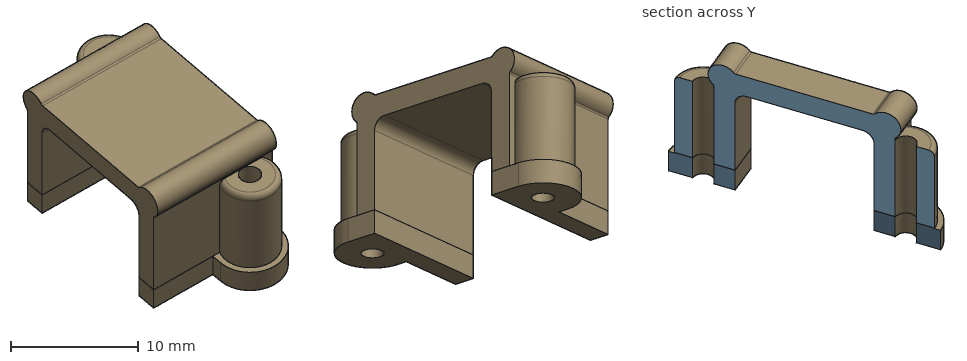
import cadquery as cq

total_width = 23.5
length = 12.0
total_height = 12.25

leg_outer_x = 7.83
leg_inner_x = 6.0
plate_top_z = 11.75
plate_bottom_z = 9.75
inner_fillet = 1.0

bead_radius = 1.3
bead_x = 7.05
bead_z = total_height - bead_radius
bead_blend = 0.24

foot_height = 2.0
lug_radius = 3.0
lug_x = total_width / 2 - lug_radius
lug_y = length / 2 - lug_radius

post_radius = 2.5
post_top_z = plate_bottom_z
post_top_fillet = 0.5
bore_diameter = 1.8

SIDES = (-1, 1)


def make_bore(side):
    """Cylinder that cuts the vertical hole through a post and its lug."""
    return cq.Workplane("XY").center(side * lug_x, lug_y).circle(bore_diameter / 2).extrude(post_top_z)


def make_channel():
    """Legs and top plate with beads blended into the outer corners."""
    channel = (
        cq.Workplane("XY", origin=(0, 0, foot_height))
        .rect(2 * leg_outer_x, length)
        .extrude(plate_top_z - foot_height)
    )
    opening = cq.Workplane("XY").rect(2 * leg_inner_x, length).extrude(plate_bottom_z)
    opening = opening.edges("|Y and >Z").fillet(inner_fillet)
    channel = channel.cut(opening)

    beads = (
        cq.Workplane("XZ", origin=(0, length / 2, 0))
        .pushPoints([(side * bead_x, bead_z) for side in SIDES])
        .circle(bead_radius)
        .extrude(length)
    )
    channel = channel.union(beads)

    plate_corner_x = bead_x - (bead_radius**2 - (plate_top_z - bead_z)**2) ** 0.5
    leg_corner_z = bead_z - (bead_radius**2 - (leg_outer_x - bead_x)**2) ** 0.5
    corners = channel.newObject([])
    for side in SIDES:
        for corner in (
            (side * plate_corner_x, 0, plate_top_z),
            (side * leg_outer_x, 0, leg_corner_z),
        ):
            corners = corners.add(channel.edges(cq.selectors.NearestToPointSelector(corner)))
    return corners.fillet(bead_blend)


def make_post(side):
    """Round post with a rounded top edge."""
    post = (
        cq.Workplane("XY", origin=(side * lug_x, lug_y, foot_height))
        .circle(post_radius)
        .extrude(post_top_z - foot_height)
    )
    return post.edges(">Z").fillet(post_top_fillet)


def make_bracket():
    """Channel with a bored post on each side, as one body."""
    bracket = make_channel()
    for side in SIDES:
        bracket = bracket.union(make_post(side)).cut(make_bore(side))
    return bracket


def make_foot(side):
    """Strip under one leg with a round-ended, bored lug at the back."""
    leg_width = leg_outer_x - leg_inner_x
    leg_center_x = side * (leg_inner_x + leg_width / 2)
    strip = cq.Workplane("XY").center(leg_center_x, 0).rect(leg_width, length).extrude(foot_height)
    lug = (
        cq.Workplane("XY")
        .moveTo(side * leg_outer_x, lug_y - lug_radius)
        .lineTo(side * lug_x, lug_y - lug_radius)
        .threePointArc((side * total_width / 2, lug_y), (side * lug_x, lug_y + lug_radius))
        .lineTo(side * leg_outer_x, lug_y + lug_radius)
        .close()
        .extrude(foot_height)
    )
    return strip.union(lug).cut(make_bore(side))


bracket = make_bracket()
feet = [make_foot(side) for side in SIDES]
result = cq.Compound.makeCompound([bracket.val(), *[foot.val() for foot in feet]])